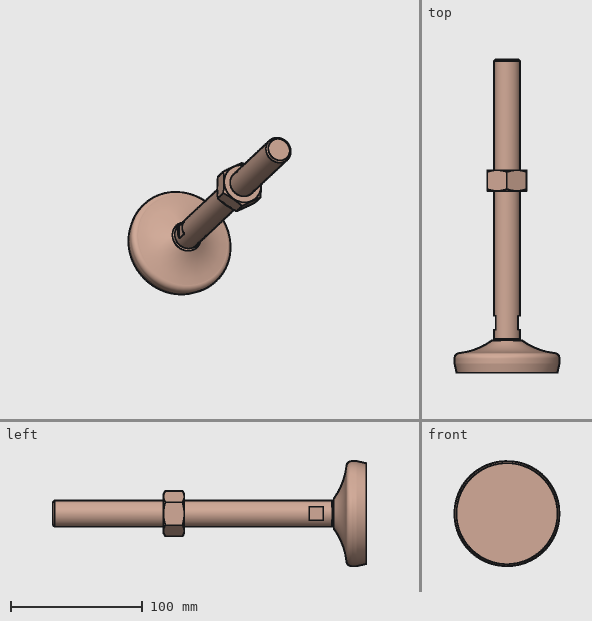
import cadquery as cq
import math

total_length = 238.0

pad_radius = 80.0 / 2
pad_base_radius = 38.3
pad_taper_height = 7.4
pad_band_top = 11.0
pad_shoulder_fillet = 4.3
pad_hub_radius = 11.5
pad_flare_sag = 1.7
pad_height = 24.8

stud_radius = 20.0 / 2
stud_start = 26.0
stud_chamfer = 1.5
neck_radius = 10.0 / 2
neck_embed = 2.4

flat_across = 17.1
flat_start = 32.8
flat_length = 10.5

nut_start = 138.0
nut_height = 16.0
nut_across_flats = 30.0
nut_face_radius = 14.8
nut_chamfer_angle = 30.0


def revolve_about_y(profile):
    """Revolve a closed profile, drawn as (radius, Y), about the Y axis."""
    return profile.close().revolve(360, (0, 0, 0), (0, 1, 0))


def cylinder_along_y(radius, start, end):
    return cq.Workplane("XZ", origin=(0, start, 0)).circle(radius).extrude(start - end)


def make_pad():
    shoulder_radius = pad_radius - pad_shoulder_fillet
    shoulder_top = pad_band_top + pad_shoulder_fillet
    profile = (
        cq.Workplane("XY")
        .lineTo(pad_base_radius, 0)
        .lineTo(pad_radius, pad_taper_height)
        .lineTo(pad_radius, pad_band_top)
        .tangentArcPoint((shoulder_radius, shoulder_top), relative=False)
        .sagittaArc((pad_hub_radius, pad_height), pad_flare_sag)
        .lineTo(0, pad_height)
    )
    return revolve_about_y(profile)


def make_stud():
    rod = cylinder_along_y(stud_radius, stud_start, total_length)
    rod = rod.faces(">Y").chamfer(stud_chamfer)
    for side in (-1, 1):
        cutter = cq.Workplane("XY").box(stud_radius, flat_length, 2 * stud_radius)
        cutter_x = side * (flat_across + stud_radius) / 2
        rod = rod.cut(cutter.translate((cutter_x, flat_start + flat_length / 2, 0)))
    neck = cylinder_along_y(neck_radius, pad_height - neck_embed, stud_start)
    return rod.union(neck)


def make_nut():
    corner_radius = nut_across_flats / 2 / math.cos(math.radians(30))
    chamfer_height = (corner_radius - nut_face_radius) * math.tan(math.radians(nut_chamfer_angle))
    nut_end = nut_start + nut_height
    hexagon = (
        cq.Workplane("XZ", origin=(0, nut_start, 0))
        .transformed(rotate=(0, 0, 90))
        .polygon(6, 2 * corner_radius)
        .extrude(-nut_height)
    )
    chamfer_envelope = revolve_about_y(
        cq.Workplane("XY")
        .moveTo(0, nut_start)
        .lineTo(nut_face_radius, nut_start)
        .lineTo(corner_radius, nut_start + chamfer_height)
        .lineTo(corner_radius, nut_end - chamfer_height)
        .lineTo(nut_face_radius, nut_end)
        .lineTo(0, nut_end)
    )
    return hexagon.intersect(chamfer_envelope)


result = make_pad().union(make_stud()).union(make_nut())